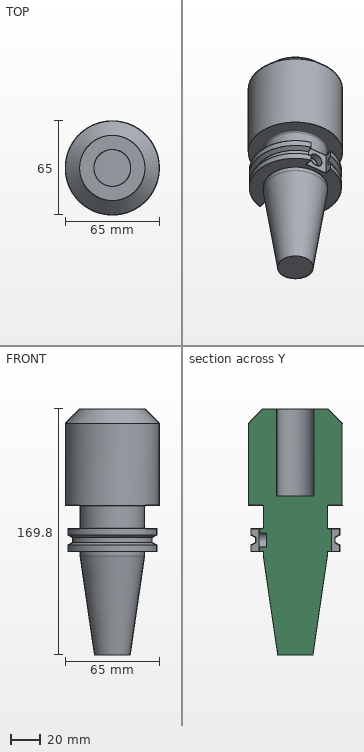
import cadquery as cq
import math


GAUGE_DIAMETER = 44.45
TAPER_RATIO = 7 / 24
TAPER_LENGTH = 68.25

FLANGE_DIAMETER = 63.5
FLANGE_BOTTOM = 3.175
FLANGE_WIDTH = 15.875
FLANGE_TOP = FLANGE_BOTTOM + FLANGE_WIDTH
FLANGE_MIDDLE = FLANGE_BOTTOM + FLANGE_WIDTH / 2
GROOVE_FLOOR_DIAMETER = 57.3
GROOVE_FLOOR_WIDTH = 3.5
GROOVE_SIDE_ANGLE = 30

SLOT_WIDTH = 16.4
SLOT_FLOOR_X = 25.0

DIMPLE_DIAMETER = 9.525
DIMPLE_DEPTH = 5.0

GAUGE_LENGTH = 101.6
NECK_DIAMETER = 44.45
HEAD_DIAMETER = 65.0
HEAD_LENGTH = 66.6
HEAD_BOTTOM = GAUGE_LENGTH - HEAD_LENGTH
NOSE_CHAMFER = 10.0
NECK_FILLET = 0.8

BORE_DIAMETER = 25.4
BORE_DEPTH = 60.0


def make_body():
    """Revolve the half section of the holder, without bore, slots or hole."""
    gauge_radius = GAUGE_DIAMETER / 2
    small_end_radius = gauge_radius - TAPER_LENGTH * TAPER_RATIO / 2
    flange_radius = FLANGE_DIAMETER / 2
    floor_radius = GROOVE_FLOOR_DIAMETER / 2
    neck_radius = NECK_DIAMETER / 2
    head_radius = HEAD_DIAMETER / 2

    half_floor = GROOVE_FLOOR_WIDTH / 2
    side_rise = (flange_radius - floor_radius) * math.tan(math.radians(GROOVE_SIDE_ANGLE))
    half_mouth = half_floor + side_rise

    section = (
        cq.Workplane("XZ")
        .moveTo(0, -TAPER_LENGTH)
        .lineTo(small_end_radius, -TAPER_LENGTH)
        .lineTo(gauge_radius, 0)
        .lineTo(gauge_radius, FLANGE_BOTTOM)
        .lineTo(flange_radius, FLANGE_BOTTOM)
        .lineTo(flange_radius, FLANGE_MIDDLE - half_mouth)
        .lineTo(floor_radius, FLANGE_MIDDLE - half_floor)
        .lineTo(floor_radius, FLANGE_MIDDLE + half_floor)
        .lineTo(flange_radius, FLANGE_MIDDLE + half_mouth)
        .lineTo(flange_radius, FLANGE_TOP)
        .lineTo(neck_radius + NECK_FILLET, FLANGE_TOP)
        .radiusArc((neck_radius, FLANGE_TOP + NECK_FILLET), NECK_FILLET)
        .lineTo(neck_radius, HEAD_BOTTOM - NECK_FILLET)
        .radiusArc((neck_radius + NECK_FILLET, HEAD_BOTTOM), NECK_FILLET)
        .lineTo(head_radius, HEAD_BOTTOM)
        .lineTo(head_radius, GAUGE_LENGTH - NOSE_CHAMFER)
        .lineTo(head_radius - NOSE_CHAMFER, GAUGE_LENGTH)
        .lineTo(0, GAUGE_LENGTH)
        .close()
    )
    return section.revolve(360, (0, 0, 0), (0, 1, 0))


def make_drive_slot(side):
    """Box that clears the flange outside the slot floor; side is -1 or +1 along X."""
    slot_length = FLANGE_DIAMETER / 2
    center_x = side * (SLOT_FLOOR_X + slot_length / 2)
    slot = cq.Workplane("XY").box(slot_length, SLOT_WIDTH, FLANGE_WIDTH)
    return slot.translate((center_x, 0, FLANGE_MIDDLE))


def make_dimple():
    """Blind round hole going inward from the -X slot floor."""
    return (
        cq.Workplane("YZ", origin=(-SLOT_FLOOR_X, 0, FLANGE_MIDDLE))
        .circle(DIMPLE_DIAMETER / 2)
        .extrude(DIMPLE_DEPTH)
    )


def make_bore():
    """Flat-bottomed tool bore going down from the nose face."""
    return (
        cq.Workplane("XY", origin=(0, 0, GAUGE_LENGTH - BORE_DEPTH))
        .circle(BORE_DIAMETER / 2)
        .extrude(BORE_DEPTH)
    )


result = make_body().cut(make_bore())
for slot_side in (-1, 1):
    result = result.cut(make_drive_slot(slot_side))
result = result.cut(make_dimple())